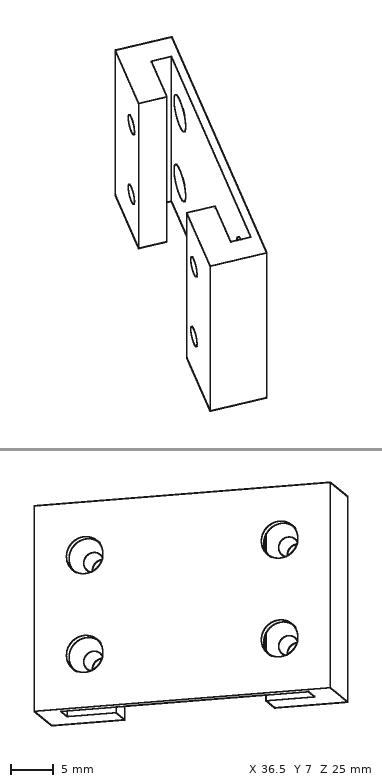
import cadquery as cq

width = 36.5
depth = 7.0
height = 25.0

back_thickness = 1.02
side_thickness = 3.0
lip_width = 9.0
lip_thickness = 3.5

hole_spacing_x = 24.0
hole_spacing_z = 12.0
screw_diameter = 2.4
access_diameter = 4.5

slot_width = width - 2 * side_thickness
opening_width = width - 2 * lip_width
lip_back_y = -depth / 2 + lip_thickness
back_inner_y = depth / 2 - back_thickness


def box_between(size_x, y_front, y_back):
    """Full-height box centred on X and Z, spanning the given Y range."""
    box = cq.Workplane("XY").box(size_x, y_back - y_front, height)
    return box.translate((0, (y_front + y_back) / 2, 0))


def hole_cutters(diameter, y_front, y_back):
    """Four cylinders along Y at the corners of the hole pattern."""
    return (
        cq.Workplane("XZ", origin=(0, y_front, 0))
        .rarray(hole_spacing_x, hole_spacing_z, 2, 2)
        .circle(diameter / 2)
        .extrude(y_front - y_back)
    )


channel = box_between(width, -depth / 2, depth / 2)
channel = channel.cut(box_between(slot_width, lip_back_y, back_inner_y))
channel = channel.cut(box_between(opening_width, -depth / 2, lip_back_y))

channel = channel.cut(hole_cutters(screw_diameter, -depth / 2, lip_back_y))
result = channel.cut(hole_cutters(access_diameter, back_inner_y, depth / 2))